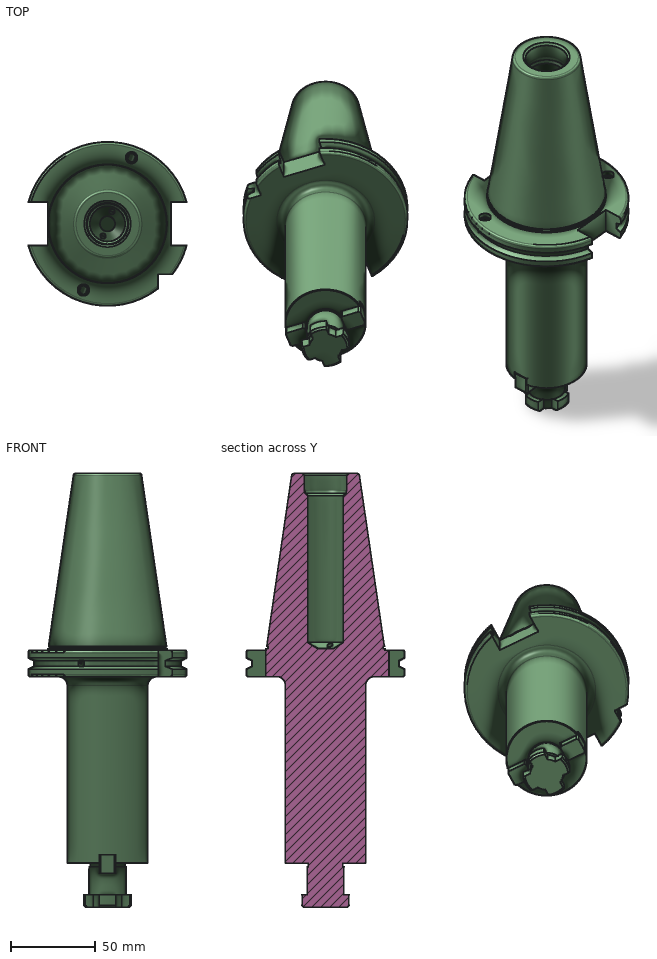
import cadquery as cq
import math

GAUGE_RADIUS = 69.85 / 2
TAPER_SLOPE = 7 / 24 / 2
TAPER_TOP_Z = 101.75
TAPER_BASE_Z = -1.0
TAPER_TOP_FILLET = 1.5
UNDERCUT_RADIUS = 34.3
UNDERCUT_BOTTOM_Z = -2.4
UNDERCUT_SLANT = 0.3
COLLAR_RADIUS = 35.4

FLANGE_RADIUS = 97.5 / 2
FLANGE_TOP_Z = -3.2
FLANGE_BOTTOM_Z = -19.1
FLANGE_RIM_FILLET = 1.5
GROOVE_Z = -11.2
GROOVE_FLOOR_RADIUS = 45.6
GROOVE_FLOOR_WIDTH = 3.4
GROOVE_FLANK_ANGLE = 27

DRIVE_SLOT_WIDTH = 25.7
DRIVE_SLOT_FLOOR_LEFT = 35.5
DRIVE_SLOT_FLOOR_RIGHT = 37.7
NOTCH_OFFSET = 30.0

SHANK_RADIUS = 24.0
SHANK_BOTTOM_Z = -129.75
SHANK_TOP_FILLET = 5.0
SHANK_END_CHAMFER = 0.4
ARBOR_RADIUS = 11.0
ARBOR_BOTTOM_Z = -148.4
ARBOR_RELIEF_RADIUS = 10.4
ARBOR_RELIEF_HEIGHT = 2.2

HEAD_RADIUS = 14.0
HEAD_BOTTOM_Z = -156.0
HEAD_CORE_RADIUS = 9.7
HEAD_ARM_WIDTH = 10.0
HEAD_CHAMFER = 1.2

KEY_WIDTH = 10.0
KEY_INNER_Y = 11.4
KEY_OUTER_Y = 23.5
KEY_TOP_Z = -124.75
KEY_BOTTOM_Z = -135.75
KEY_CHAMFER = 1.0

MOUTH_RADIUS = 13.8
COUNTERBORE_RADIUS = 12.5
COUNTERBORE_DEPTH = 10.0
SEAT_RADIUS = 12.0
SEAT_DEPTH = 11.8
BORE_RADIUS = 10.5
BORE_DEPTH = 104.0
BORE_TIP_RADIUS = 4.5
BORE_TIP_HALF_ANGLE = 59

COOLANT_DIRECTION = 70
COOLANT_INLET_RADIUS = 41.8
COOLANT_INLET_DIAMETER = 7.0
COOLANT_INLET_DEPTH = 3.0
COOLANT_FEED_DIAMETER = 5.0
COOLANT_CHANNEL_DIAMETER = 4.0
COOLANT_EXIT_DIAMETER = 3.2
COOLANT_EXIT_RADIUS = 7.7

CUT_OVERSHOOT = 1.0
SELECTION_MARGIN = 0.01


def taper_radius(z):
    return GAUGE_RADIUS - TAPER_SLOPE * z


def make_body():
    flank = (FLANGE_RADIUS - GROOVE_FLOOR_RADIUS) * math.tan(math.radians(GROOVE_FLANK_ANGLE))
    floor_half = GROOVE_FLOOR_WIDTH / 2
    mouth_half = floor_half + flank
    relief_bottom_z = SHANK_BOTTOM_Z - ARBOR_RELIEF_HEIGHT
    profile = (
        cq.Workplane("XZ")
        .moveTo(0, TAPER_TOP_Z)
        .lineTo(taper_radius(TAPER_TOP_Z), TAPER_TOP_Z)
        .lineTo(taper_radius(TAPER_BASE_Z), TAPER_BASE_Z)
        .lineTo(UNDERCUT_RADIUS, TAPER_BASE_Z - UNDERCUT_SLANT)
        .lineTo(UNDERCUT_RADIUS, UNDERCUT_BOTTOM_Z + UNDERCUT_SLANT)
        .lineTo(COLLAR_RADIUS, UNDERCUT_BOTTOM_Z)
        .lineTo(COLLAR_RADIUS, FLANGE_TOP_Z)
        .lineTo(FLANGE_RADIUS, FLANGE_TOP_Z)
        .lineTo(FLANGE_RADIUS, GROOVE_Z + mouth_half)
        .lineTo(GROOVE_FLOOR_RADIUS, GROOVE_Z + floor_half)
        .lineTo(GROOVE_FLOOR_RADIUS, GROOVE_Z - floor_half)
        .lineTo(FLANGE_RADIUS, GROOVE_Z - mouth_half)
        .lineTo(FLANGE_RADIUS, FLANGE_BOTTOM_Z)
        .lineTo(SHANK_RADIUS, FLANGE_BOTTOM_Z)
        .lineTo(SHANK_RADIUS, SHANK_BOTTOM_Z + SHANK_END_CHAMFER)
        .lineTo(SHANK_RADIUS - SHANK_END_CHAMFER, SHANK_BOTTOM_Z)
        .lineTo(ARBOR_RELIEF_RADIUS, SHANK_BOTTOM_Z)
        .lineTo(ARBOR_RELIEF_RADIUS, relief_bottom_z)
        .lineTo(ARBOR_RADIUS, relief_bottom_z)
        .lineTo(ARBOR_RADIUS, ARBOR_BOTTOM_Z)
        .lineTo(0, ARBOR_BOTTOM_Z)
        .close()
    )
    body = profile.revolve(360, (0, 0), (0, 1))
    body = round_circle(body, taper_radius(TAPER_TOP_Z), TAPER_TOP_Z, TAPER_TOP_FILLET)
    body = round_circle(body, FLANGE_RADIUS, FLANGE_TOP_Z, FLANGE_RIM_FILLET)
    body = round_circle(body, FLANGE_RADIUS, FLANGE_BOTTOM_Z, FLANGE_RIM_FILLET)
    return round_circle(body, SHANK_RADIUS, FLANGE_BOTTOM_Z, SHANK_TOP_FILLET)


def round_circle(body, radius, z, fillet):
    """Fillet the circular edge of the given radius around the Z axis at height z."""
    reach = radius + SELECTION_MARGIN
    disc_box = cq.selectors.BoxSelector(
        (-reach, -reach, z - SELECTION_MARGIN),
        (reach, reach, z + SELECTION_MARGIN),
        boundingbox=True,
    )
    return body.edges("%CIRCLE").edges(disc_box).edges(cq.selectors.RadiusNthSelector(-1)).fillet(fillet)


def box_between(x, y, z):
    """Box spanning the given (low, high) range along each axis."""
    size = [high - low for low, high in (x, y, z)]
    return cq.Workplane("XY").box(*size, centered=False).translate((x[0], y[0], z[0]))


def cut_flange(body):
    reach = FLANGE_RADIUS + CUT_OVERSHOOT
    flange_z = (FLANGE_BOTTOM_Z, FLANGE_TOP_Z)
    slot_y = (-DRIVE_SLOT_WIDTH / 2, DRIVE_SLOT_WIDTH / 2)
    body = body.cut(box_between((-reach, -DRIVE_SLOT_FLOOR_LEFT), slot_y, flange_z))
    body = body.cut(box_between((DRIVE_SLOT_FLOOR_RIGHT, reach), slot_y, flange_z))
    return body.cut(box_between((NOTCH_OFFSET, reach), (-reach, -NOTCH_OFFSET), flange_z))


def make_head():
    height = ARBOR_BOTTOM_Z - HEAD_BOTTOM_Z
    base = cq.Workplane("XY").workplane(offset=HEAD_BOTTOM_Z)
    arms = base.rect(2 * HEAD_RADIUS, HEAD_ARM_WIDTH).extrude(height)
    arms = arms.union(base.rect(HEAD_ARM_WIDTH, 2 * HEAD_RADIUS).extrude(height))
    core = base.circle(HEAD_CORE_RADIUS).extrude(height)
    envelope = base.circle(HEAD_RADIUS).extrude(height).faces("<Z").chamfer(HEAD_CHAMFER)
    return arms.union(core).intersect(envelope)


def make_key(side):
    key_y = sorted((side * KEY_INNER_Y, side * KEY_OUTER_Y))
    half_width = KEY_WIDTH / 2
    key = box_between((-half_width, half_width), key_y, (KEY_BOTTOM_Z, KEY_TOP_Z))
    return key.edges("|Z").chamfer(KEY_CHAMFER)


def cut_key_seat(body, side):
    seat_y = sorted((side * KEY_INNER_Y, side * (SHANK_RADIUS + CUT_OVERSHOOT)))
    half_width = KEY_WIDTH / 2
    return body.cut(box_between((-half_width, half_width), seat_y, (SHANK_BOTTOM_Z, KEY_TOP_Z)))


def bore_tip_height():
    return (BORE_RADIUS - BORE_TIP_RADIUS) / math.tan(math.radians(BORE_TIP_HALF_ANGLE))


def make_bore():
    mouth_chamfer = MOUTH_RADIUS - COUNTERBORE_RADIUS
    seat_z = TAPER_TOP_Z - SEAT_DEPTH
    seat_step = SEAT_RADIUS - BORE_RADIUS
    floor_z = TAPER_TOP_Z - BORE_DEPTH
    profile = (
        cq.Workplane("XZ")
        .moveTo(0, TAPER_TOP_Z)
        .lineTo(MOUTH_RADIUS, TAPER_TOP_Z)
        .lineTo(COUNTERBORE_RADIUS, TAPER_TOP_Z - mouth_chamfer)
        .lineTo(COUNTERBORE_RADIUS, TAPER_TOP_Z - COUNTERBORE_DEPTH)
        .lineTo(SEAT_RADIUS, seat_z)
        .lineTo(BORE_RADIUS, seat_z - seat_step)
        .lineTo(BORE_RADIUS, floor_z + bore_tip_height())
        .lineTo(BORE_TIP_RADIUS, floor_z)
        .lineTo(0, floor_z)
        .close()
    )
    return profile.revolve(360, (0, 0), (0, 1))


def upright_hole(x, diameter, bottom_z, top_z):
    base = cq.Workplane("XY").workplane(offset=bottom_z).center(x, 0)
    return base.circle(diameter / 2).extrude(top_z - bottom_z)


def make_coolant_holes(direction):
    """Stepped inlet in the flange, radial channel from the V groove and outlet in the bore tip."""
    inlet_bottom_z = FLANGE_TOP_Z - COOLANT_INLET_DEPTH
    inlet = upright_hole(COOLANT_INLET_RADIUS, COOLANT_INLET_DIAMETER, inlet_bottom_z, FLANGE_TOP_Z)
    feed = upright_hole(COOLANT_INLET_RADIUS, COOLANT_FEED_DIAMETER, GROOVE_Z, FLANGE_TOP_Z)
    channel = (
        cq.Workplane("YZ")
        .workplane(offset=COOLANT_EXIT_RADIUS)
        .center(0, GROOVE_Z)
        .circle(COOLANT_CHANNEL_DIAMETER / 2)
        .extrude(FLANGE_RADIUS - COOLANT_EXIT_RADIUS)
    )
    outlet_top_z = TAPER_TOP_Z - BORE_DEPTH + bore_tip_height()
    outlet = upright_hole(COOLANT_EXIT_RADIUS, COOLANT_EXIT_DIAMETER, GROOVE_Z, outlet_top_z)
    holes = inlet.union(feed).union(channel).union(outlet)
    return holes.rotate((0, 0, 0), (0, 0, 1), direction)


result = cut_flange(make_body()).union(make_head()).cut(make_bore())
for key_side in (-1, 1):
    result = cut_key_seat(result, key_side).union(make_key(key_side))
for turn in (0, 180):
    result = result.cut(make_coolant_holes(COOLANT_DIRECTION + turn))